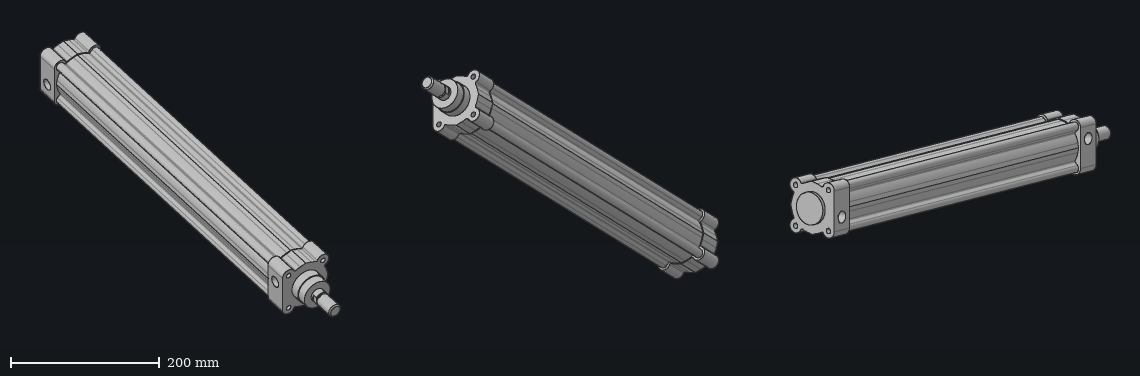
import cadquery as cq
import math


total_length = 644.0
spigot_length = 5.0
rear_cap_length = 33.5
front_cap_start = 540.0
front_cap_length = 34.0
rear_cap_end = spigot_length + rear_cap_length
front_cap_end = front_cap_start + front_cap_length

radius_tolerance = 0.005

cap_width = 76.0
bolt_spacing = 56.0
bolt_offset = bolt_spacing / 2
cap_ear_radius = cap_width / 2 - bolt_offset
cap_body_radius = 35.5
cap_ridge_half_width = 9.0
cap_corner_fillet = 2.0
bolt_hole_radius = 3.55
spigot_radius = 22.5

port_radius = 16.0 / 2
port_depth = 13.0
port_height = 10.0
rear_port_x = 22.0
front_port_x = 557.0

boss_length = 13.5
collar_length = 13.5
collar_radius = 21.0
boss_end = front_cap_end + boss_length
collar_end = boss_end + collar_length

barrel_radius = 34.0
barrel_ridge_half_width = 6.5
barrel_rib_radius = 6.1
barrel_rib_spacing = 57.0
barrel_corner_fillet = 1.0

rod_radius = 20.0 / 2
rod_flat_offset = 8.5
rod_flat_start = 605.0
groove_start = 612.0
groove_length = 2.5
groove_radius = 8.0
thread_radius = 9.5
thread_chamfer = 2.0


def disc(radius, start, length):
    """A cylinder on the X axis that begins at the given X."""
    return cq.Workplane("YZ", origin=(start, 0, 0)).circle(radius).extrude(length)


def round_with_ridges(radius, ridge_half_width, start, length):
    """A round bar with a shallow ridge on four sides, its flats tangent to the round."""
    slope = math.asin(ridge_half_width / radius)
    shoulder = radius * math.cos(slope)
    crest = radius / math.cos(slope)
    bar = disc(radius, start, length)
    for turn in (0, 90, 180, 270):
        ridge = (
            cq.Workplane("YZ", origin=(start, 0, 0))
            .polyline([(0, 0), (ridge_half_width, shoulder), (0, crest), (-ridge_half_width, shoulder)])
            .close()
            .extrude(length)
            .rotate((0, 0, 0), (1, 0, 0), turn)
        )
        bar = bar.union(ridge)
    return bar


def rib_corners(body, body_radius):
    """The edges along X where the diagonal ribs or ears leave the round body."""
    corners = []
    for edge in body.edges("|X").vals():
        middle = edge.Center()
        on_round = math.isclose(math.hypot(middle.y, middle.z), body_radius, abs_tol=radius_tolerance)
        near_diagonal = min(abs(middle.y), abs(middle.z)) > body_radius / 3
        if on_round and near_diagonal:
            corners.append(edge)
    return corners


def corner_points(offset):
    return [(y, z) for y in (-offset, offset) for z in (-offset, offset)]


def cap_block(start, length, port_x, port_z):
    """Round end cap with four bolt ears, a flat -Y side and a plain port."""
    plane = cq.Workplane("YZ", origin=(start, 0, 0))
    ears = plane.pushPoints(corner_points(bolt_offset)).circle(cap_ear_radius).extrude(length)
    flat_side = plane.center(-cap_width / 4, 0).rect(cap_width / 2, 2 * bolt_offset).extrude(length)
    bolt_holes = plane.pushPoints(corner_points(bolt_offset)).circle(bolt_hole_radius).extrude(length)
    port = (
        cq.Workplane("XZ", origin=(port_x, -cap_width / 2, port_z))
        .circle(port_radius)
        .extrude(-port_depth)
    )
    body = round_with_ridges(cap_body_radius, cap_ridge_half_width, start, length)
    body = body.union(ears).union(flat_side)
    corners = rib_corners(body, cap_body_radius)
    return body.newObject(corners).fillet(cap_corner_fillet).cut(bolt_holes).cut(port)


def make_rear_cap():
    block = cap_block(spigot_length, rear_cap_length, rear_port_x, -port_height)
    return block.union(disc(spigot_radius, 0, spigot_length))


def make_front_cap():
    block = cap_block(front_cap_start, front_cap_length, front_port_x, port_height)
    boss = disc(spigot_radius, front_cap_end, boss_length)
    collar = disc(collar_radius, boss_end, collar_length)
    rod_bore = disc(rod_radius, front_cap_start, collar_end - front_cap_start)
    return block.union(boss).union(collar).cut(rod_bore)


def make_barrel():
    """Round profile with four straight-flanked ribs that end in rounded tips on the diagonals."""
    length = front_cap_start - rear_cap_end
    tip_distance = barrel_rib_spacing / math.sqrt(2)
    slot_length = 2 * (tip_distance + barrel_rib_radius)
    barrel = round_with_ridges(barrel_radius, barrel_ridge_half_width, rear_cap_end, length)
    for angle in (45, 135):
        ribs = (
            cq.Workplane("YZ", origin=(rear_cap_end, 0, 0))
            .slot2D(slot_length, 2 * barrel_rib_radius, angle)
            .extrude(length)
        )
        barrel = barrel.union(ribs)
    corners = rib_corners(barrel, barrel_radius)
    return barrel.newObject(corners).fillet(barrel_corner_fillet)


def make_rod():
    shank = disc(rod_radius, front_cap_start, groove_start - front_cap_start)
    groove = disc(groove_radius, groove_start, groove_length)
    thread_start = groove_start + groove_length
    thread = (
        disc(thread_radius, thread_start, total_length - thread_start)
        .faces(">X")
        .chamfer(thread_chamfer)
    )
    flat_length = groove_start - rod_flat_start
    across_flats = (
        cq.Workplane("YZ", origin=(rod_flat_start, 0, 0))
        .rect(2 * rod_flat_offset, 2 * rod_radius)
        .extrude(flat_length)
    )
    flat_waste = disc(rod_radius, rod_flat_start, flat_length).cut(across_flats)
    return shank.cut(flat_waste).union(groove).union(thread)


rear_cap = make_rear_cap()
barrel = make_barrel()
front_cap = make_front_cap()
rod = make_rod()

result = cq.Compound.makeCompound([rear_cap.val(), barrel.val(), front_cap.val(), rod.val()])